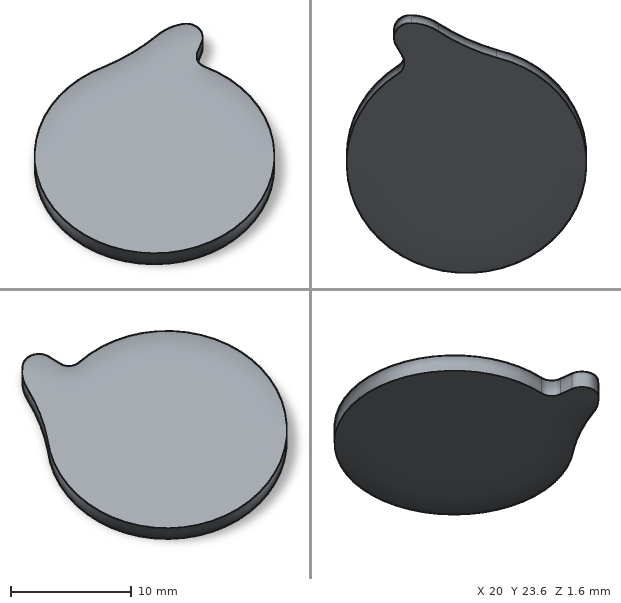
import cadquery as cq
import math

disc_radius = 9.98
total_length = 23.65
thickness = 1.6

wall_x = 0.05
tip_radius = 1.37
tip_join_angle = 122.0
root_radius = 1.18
shoulder_middle = (-2.93, 12.77)
shoulder_end = (-3.65, 11.75)
flank_middle = (-4.95, 9.55)
flank_end_y = 7.33


def point_on_circle(center, radius, angle):
    """Point at an angle in degrees from +X on a circle."""
    turn = math.radians(angle)
    return (center[0] + radius * math.cos(turn), center[1] + radius * math.sin(turn))


tip_center = (wall_x - tip_radius, total_length - disc_radius - tip_radius)
tip_join = point_on_circle(tip_center, tip_radius, tip_join_angle)
tip_middle = point_on_circle(tip_center, tip_radius, tip_join_angle / 2)

root_x = wall_x + root_radius
root_center = (root_x, math.sqrt((disc_radius + root_radius) ** 2 - root_x**2))
disc_angle = math.degrees(math.atan2(root_center[1], root_center[0]))
root_end_angle = 180 + disc_angle
root_middle = point_on_circle(root_center, root_radius, (180 + root_end_angle) / 2)
disc_start = point_on_circle((0, 0), disc_radius, disc_angle)

flank_end = (-math.sqrt(disc_radius**2 - flank_end_y**2), flank_end_y)

outline = (
    cq.Workplane("XY")
    .moveTo(wall_x, tip_center[1])
    .lineTo(wall_x, root_center[1])
    .threePointArc(root_middle, disc_start)
    .threePointArc((0, -disc_radius), flank_end)
    .threePointArc(flank_middle, shoulder_end)
    .threePointArc(shoulder_middle, tip_join)
    .threePointArc(tip_middle, (wall_x, tip_center[1]))
    .close()
)

result = outline.extrude(thickness)